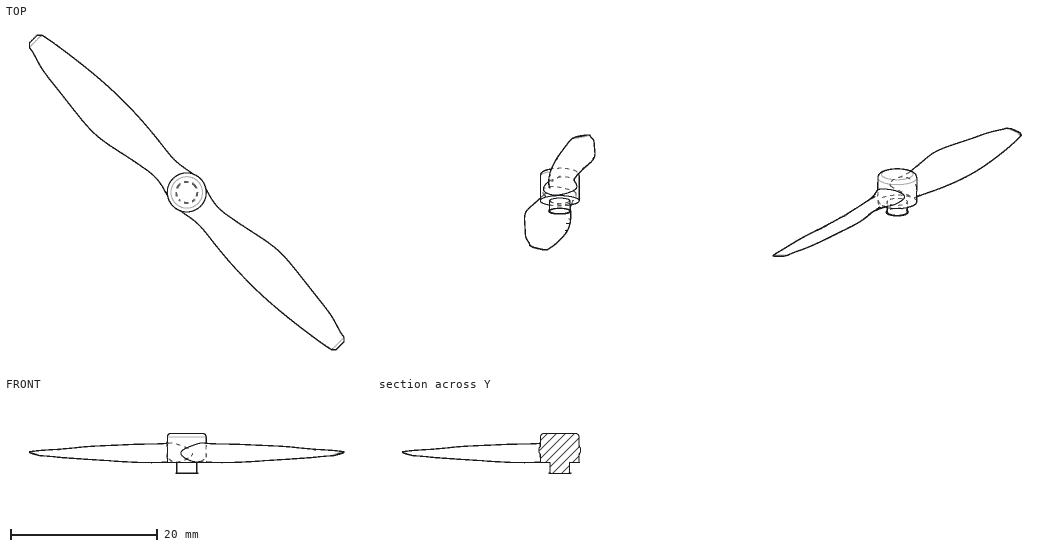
import cadquery as cq
import math

span = 43.0
height = 5.5
top_z = height / 2
bottom_z = -height / 2

hub_radius = 2.65
hub_bottom_z = -1.25
hub_fillet = 0.5
shaft_radius = 1.38
flange_diameter = 3.0
flange_thickness = 0.05

tip_half_width = 0.77
bevel_width = 0.45
tip_reach = span / math.sqrt(2) - tip_half_width
bevel_start = tip_reach - bevel_width

blade_sections = [
    (0.85, -2.35, 2.25, -1.1, 1.55, 80),
    (2.6, -2.15, 1.9, -1.15, 1.45, 74),
    (4.3, -1.98, 1.6, -1.2, 1.35, 58),
    (6.9, -2.2, 1.85, -1.25, 1.3, 43),
    (10.3, -2.55, 2.55, -1.25, 1.15, 31),
    (14.2, -2.7, 3.2, -1.15, 1.05, 21),
    (18.05, -2.62, 3.0, -1.0, 0.85, 18),
    (23.2, -2.15, 2.4, -0.75, 0.55, 18),
    (26.65, -1.68, 1.85, -0.5, 0.45, 18),
    (bevel_start, -tip_half_width - bevel_width, tip_half_width + bevel_width, -0.35, 0.25, 20),
]
tip_section = (tip_reach, -tip_half_width, tip_half_width, -0.2, 0.15, 20)
section_points = 16


def section_wire(distance, trailing, leading, low, high, phase):
    """Slanted ellipse that exactly fills the given width and height."""
    points = []
    for index in range(section_points):
        angle = 2 * math.pi * index / section_points
        across = (leading + trailing) / 2 + (leading - trailing) / 2 * math.cos(angle)
        z = (high + low) / 2 + (high - low) / 2 * math.cos(angle - math.radians(phase))
        points.append(cq.Vector(distance, across, z))
    edge = cq.Edge.makeSpline(points, periodic=True)
    return cq.Wire.assembleEdges([edge])


def make_blade():
    """One twisted blade along +X, with its bevelled tip."""
    wires = [section_wire(*section) for section in blade_sections]
    body = cq.Workplane(cq.Solid.makeLoft(wires))
    tip = cq.Solid.makeLoft([wires[-1], section_wire(*tip_section)], True)
    return body.union(tip)


def make_hub():
    """Hub with a rounded top, and a stub shaft ending in a thin flange."""
    hub = (
        cq.Workplane("XY", origin=(0, 0, hub_bottom_z))
        .circle(hub_radius)
        .extrude(top_z - hub_bottom_z)
        .faces(">Z")
        .edges()
        .fillet(hub_fillet)
    )
    base = cq.Workplane("XY", origin=(0, 0, bottom_z))
    shaft = base.circle(shaft_radius).extrude(hub_bottom_z - bottom_z)
    flange = base.circle(flange_diameter / 2).extrude(flange_thickness)
    return hub.union(shaft).union(flange)


blade = make_blade()
result = make_hub()
for blade_angle in (-45, 135):
    result = result.union(blade.rotate((0, 0, 0), (0, 0, 1), blade_angle))